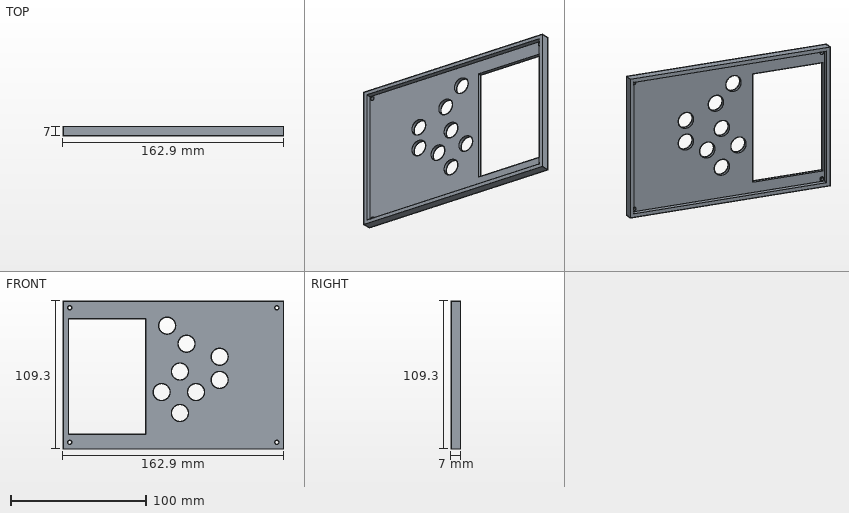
import cadquery as cq

WIDTH = 162.9
DEPTH = 7.0
HEIGHT = 109.3
WALL = 3.0

WINDOW_LEFT = -77.4
WINDOW_RIGHT = -20.4
WINDOW_BOTTOM = -43.7
WINDOW_TOP = 41.5

SCREW_DIAMETER = 3.0
SCREW_SPACING_X = 153.0
SCREW_SPACING_Z = 99.4

BUTTON_DIAMETER = 12.4
PAD_X = 4.9
PAD_LEFT_X = -8.6
PAD_RIGHT_X = 16.8
PAD_TOP_Z = 2.6
PAD_MIDDLE_Z = -12.5
PAD_BOTTOM_Z = -28.0
PAIR_X = 34.2
PAIR_TOP_Z = 13.5
PAIR_BOTTOM_Z = -3.6
BUTTON_CENTRES = [
    (PAD_X, PAD_TOP_Z),
    (PAD_LEFT_X, PAD_MIDDLE_Z),
    (PAD_RIGHT_X, PAD_MIDDLE_Z),
    (PAD_X, PAD_BOTTOM_Z),
    (PAIR_X, PAIR_TOP_Z),
    (PAIR_X, PAIR_BOTTOM_Z),
    (-4.5, 36.5),
    (9.8, 23.1),
]


def front_plane():
    """Workplane on the panel centre, with +X right and +Z up."""
    return cq.Workplane("XZ")


def cover_shell():
    """Panel with a rim around the open back."""
    block = cq.Workplane("XY").box(WIDTH, DEPTH, HEIGHT)
    return block.faces(">Y").shell(-WALL)


def window_cutter():
    centre_x = (WINDOW_LEFT + WINDOW_RIGHT) / 2
    centre_z = (WINDOW_BOTTOM + WINDOW_TOP) / 2
    window_width = WINDOW_RIGHT - WINDOW_LEFT
    window_height = WINDOW_TOP - WINDOW_BOTTOM
    profile = front_plane().center(centre_x, centre_z).rect(window_width, window_height)
    return profile.extrude(DEPTH)


def screw_cutter():
    corners = front_plane().rect(SCREW_SPACING_X, SCREW_SPACING_Z, forConstruction=True).vertices()
    return corners.circle(SCREW_DIAMETER / 2).extrude(DEPTH, both=True)


def button_cutter():
    return front_plane().pushPoints(BUTTON_CENTRES).circle(BUTTON_DIAMETER / 2).extrude(DEPTH)


result = cover_shell().cut(window_cutter()).cut(screw_cutter()).cut(button_cutter())